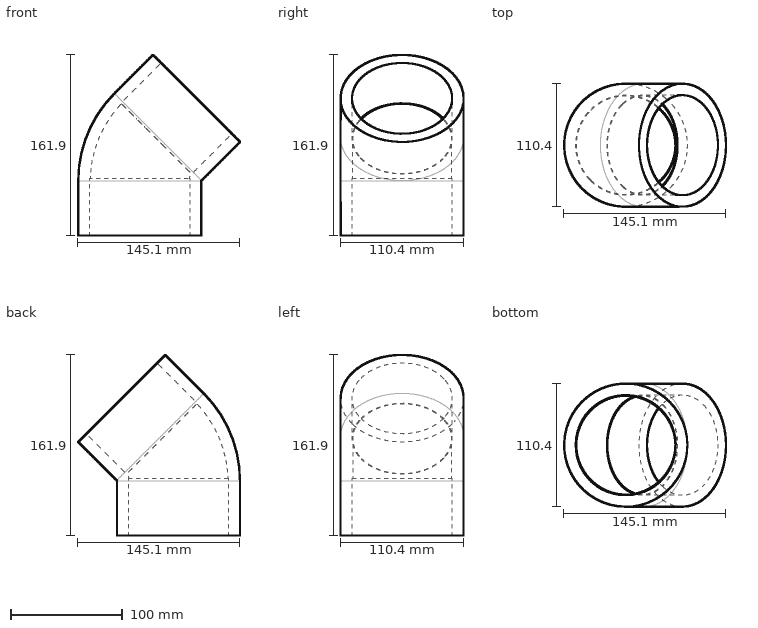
import cadquery as cq
import math

outer_radius = 55.2
socket_radius = 44.9
bore_radius = 44.2
end_length = 48.9
socket_depth = 51.0
bend_angle = 45
bend_clearance = 0.5
bend_radius = outer_radius + bend_clearance

angle = math.radians(bend_angle)
outlet_direction = cq.Vector(math.sin(angle), 0, math.cos(angle))
bend_end = cq.Vector(bend_radius * (1 - math.cos(angle)), 0, bend_radius * math.sin(angle))
outlet_mouth = bend_end + outlet_direction * end_length
inlet_mouth = cq.Vector(0, 0, -end_length)


def end_cylinder(mouth, direction, radius, depth):
    """Cylinder that starts at a mouth and runs inward, against the outward direction."""
    plane = cq.Plane(origin=mouth, xDir=(0, 1, 0), normal=direction)
    return cq.Workplane(plane).circle(radius).extrude(-depth)


def elbow_solid(bend_section_radius, end_radius, end_depth):
    """A bend starting at Z = 0, joined to a straight cylinder at each mouth."""
    bend = (
        cq.Workplane("XY")
        .circle(bend_section_radius)
        .revolve(bend_angle, (bend_radius, 0, 0), (bend_radius, 1, 0))
    )
    inlet = end_cylinder(inlet_mouth, cq.Vector(0, 0, -1), end_radius, end_depth)
    outlet = end_cylinder(outlet_mouth, outlet_direction, end_radius, end_depth)
    return bend.union(inlet).union(outlet)


body = elbow_solid(outer_radius, outer_radius, end_length)
passage = elbow_solid(bore_radius, socket_radius, socket_depth)
result = body.cut(passage)